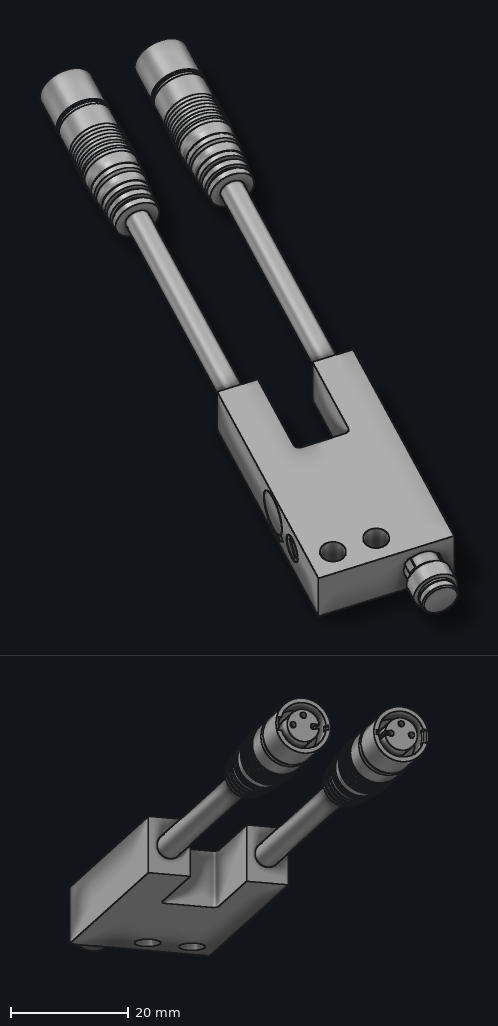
import cadquery as cq

total_length = 130.5

fork_length = 45.3
fork_width = 25.0
fork_thickness = 10.0
gap_length = 17.0
gap_width = 10.0
gap_corner_radius = 1.0
mount_hole_diameter = 4.5
mount_hole_pitch = 8.0
mount_hole_end_distance = 4.6

outlet_y = 6.5
outlet_length = 8.5
outlet_neck_diameter = 6.7
outlet_neck_length = 2.3
outlet_core_diameter = 6.4
outlet_collar_diameter = 8.1
outlet_collar_start = 3.0
outlet_collar_length = 3.3
outlet_tip_start = 6.9
outlet_end_chamfer = 0.3

window_count = 3
window_first_angle = 140
window_width = 1.6
window_diameter = 7.2

face_recess_depth = 0.1
marking_tilt = 45
button_diameter = 8.1
button_end_distance = 20.5
button_tab_length = 2.9
button_tab_width = 1.3
button_tab_reach = 5.1
button_tab_depth = 0.3
screw_diameter = 5.0
screw_end_distance = 11.9
screw_slot_length = 3.4
screw_slot_width = 0.8
screw_slot_depth = 0.7

cable_spacing = 17.5
cable_diameter = 4.5
plug_length = 31.8
plug_diameter = 9.8
socket_diameter = 8.1
socket_depth = 5.2
insert_diameter = 5.7
insert_key_width = 0.8
outer_notch_width = 2.3
inner_notch_width = 0.8
notch_reach = 4.5
notch_depth = 1.3
pin_hole_diameter = 1.0
pin_hole_depth = 2.0
pin_circle_radius = 1.8
seam_start = 7.5
seam_flat_length = 0.4
seam_end = 8.6
seam_diameter = 9.3
ridge_diameter = 10.0
ridge_count = 3
ridge_first_center = 13.8
ridge_pitch = 1.6
ridge_width = 0.8
last_ridge_centers = (18.4, 19.7)
body_end = 21.5
shoulder_diameter = 9.3
ring_count = 5
ring_pitch = 2.0
ring_width = 1.2
first_ring_diameter = 9.7
last_ring_diameter = 8.1
sloped_groove_count = 2
sloped_groove_diameter = 8.6
deep_groove_diameter = 6.9

fork_end = total_length - outlet_length
fork_start = fork_end - fork_length
fork_center_x = (fork_start + fork_end) / 2
first_ring_start = plug_length - ring_width - (ring_count - 1) * ring_pitch
ridge_centers = [ridge_first_center + index * ridge_pitch for index in range(ridge_count)]
ridge_centers += last_ridge_centers


def x_cylinder(diameter, start, length, y=0.0):
    """Cylinder along +X that begins at X = start, on the mid-plane Z = 0."""
    return cq.Workplane("YZ", origin=(start, y, 0)).circle(diameter / 2).extrude(length)


def fork_block():
    block = cq.Workplane("XY").box(fork_length, fork_width, fork_thickness)
    block = block.translate((fork_center_x, 0, 0))
    gap = cq.Workplane("XY").box(gap_length, gap_width, fork_thickness)
    gap = gap.edges("|Z and >X").fillet(gap_corner_radius)
    gap = gap.translate((fork_start + gap_length / 2, 0, 0))
    return block.cut(gap)


def mounting_holes():
    hole_x = fork_end - mount_hole_end_distance
    return (
        cq.Workplane("XY", origin=(hole_x, 0, -fork_thickness / 2))
        .pushPoints([(0, 0), (0, -mount_hole_pitch)])
        .circle(mount_hole_diameter / 2)
        .extrude(fork_thickness)
    )


def side_plane(end_distance):
    """Workplane on the -Y side; its local Y is +Z and it extrudes outward along -Y."""
    return cq.Workplane("XZ", origin=(fork_end - end_distance, -fork_width / 2, 0))


def button_recess():
    disc = side_plane(button_end_distance).circle(button_diameter / 2).extrude(-face_recess_depth)
    tab = (
        side_plane(button_end_distance)
        .transformed(rotate=(0, 0, -marking_tilt))
        .center(button_tab_reach - button_tab_width / 2, 0)
        .rect(button_tab_width, button_tab_length)
        .extrude(-button_tab_depth)
    )
    inside_disc = side_plane(button_end_distance).circle(button_diameter / 2).extrude(-button_tab_depth)
    return disc.union(tab.cut(inside_disc))


def screw_recess():
    head = side_plane(screw_end_distance).circle(screw_diameter / 2).extrude(-face_recess_depth)
    slot = (
        side_plane(screw_end_distance)
        .transformed(rotate=(0, 0, -marking_tilt))
        .rect(screw_slot_length, screw_slot_width)
        .extrude(-screw_slot_depth)
    )
    return head.union(slot)


def indicator_windows():
    """Pads on the outlet neck, spaced evenly; angles run from +Y toward +Z."""
    envelope = x_cylinder(window_diameter, fork_end, outlet_neck_length)
    pads = cq.Workplane("YZ")
    for index in range(window_count):
        angle = window_first_angle + index * 360 / window_count
        bar = (
            cq.Workplane("YZ", origin=(fork_end, 0, 0))
            .transformed(rotate=(0, 0, angle))
            .center(window_diameter / 4, 0)
            .rect(window_diameter / 2, window_width)
            .extrude(outlet_neck_length)
        )
        pads = pads.union(bar)
    return pads.intersect(envelope).translate((0, outlet_y, 0))


def outlet_connector():
    core = x_cylinder(outlet_core_diameter, fork_end, outlet_length, outlet_y)
    neck = x_cylinder(outlet_neck_diameter, fork_end, outlet_neck_length, outlet_y)
    collar = x_cylinder(
        outlet_collar_diameter, fork_end + outlet_collar_start, outlet_collar_length, outlet_y
    )
    tip_length = outlet_length - outlet_tip_start
    tip = x_cylinder(outlet_neck_diameter, fork_end + outlet_tip_start, tip_length, outlet_y)
    connector = core.union(neck).union(collar).union(tip)
    connector = connector.faces(">X").chamfer(outlet_end_chamfer)
    return connector.union(indicator_windows())


def make_housing():
    housing = fork_block().union(outlet_connector())
    return housing.cut(mounting_holes()).cut(button_recess()).cut(screw_recess())


def ring_diameter(x):
    """Diameter of the tapered strain relief at a distance x from the plug face."""
    share = (x - first_ring_start) / (plug_length - first_ring_start)
    return first_ring_diameter + share * (last_ring_diameter - first_ring_diameter)


def plug_profile():
    """Half section of the plug and cable, closed along the axis."""
    body_radius = plug_diameter / 2
    profile = cq.Workplane("XY").lineTo(0, body_radius)

    profile = (
        profile.lineTo(seam_start, body_radius)
        .lineTo(seam_start, seam_diameter / 2)
        .lineTo(seam_start + seam_flat_length, seam_diameter / 2)
        .lineTo(seam_end, body_radius)
    )

    for center in ridge_centers:
        profile = profile.lineTo(center - ridge_width / 2, body_radius).threePointArc(
            (center, ridge_diameter / 2), (center + ridge_width / 2, body_radius)
        )

    profile = profile.lineTo(body_end, body_radius).lineTo(first_ring_start, shoulder_diameter / 2)

    for index in range(ring_count):
        start = first_ring_start + index * ring_pitch
        end = start + ring_width
        profile = profile.lineTo(start, ring_diameter(start) / 2).lineTo(end, ring_diameter(end) / 2)
        if index < sloped_groove_count:
            profile = profile.lineTo(start + ring_pitch, sloped_groove_diameter / 2)
        elif index < ring_count - 1:
            profile = profile.lineTo(end, deep_groove_diameter / 2)
            profile = profile.lineTo(start + ring_pitch, deep_groove_diameter / 2)

    return (
        profile.lineTo(plug_length, cable_diameter / 2)
        .lineTo(fork_start, cable_diameter / 2)
        .lineTo(fork_start, 0)
        .close()
    )


def radial_slot(width, depth, inner, outer):
    """Slot cut from the plug face, between two distances along Y from the plug axis."""
    return (
        cq.Workplane("YZ")
        .center((inner + outer) / 2, 0)
        .rect(abs(outer - inner), width)
        .extrude(depth)
    )


def socket(side):
    """Ring-shaped socket around a keyed insert, with contact holes in the insert."""
    ring = x_cylinder(socket_diameter, 0, socket_depth).cut(
        x_cylinder(insert_diameter, 0, socket_depth)
    )
    contacts = (
        cq.Workplane("YZ")
        .pushPoints([(-pin_circle_radius, 0), (0, pin_circle_radius), (pin_circle_radius, 0)])
        .circle(pin_hole_diameter / 2)
        .extrude(pin_hole_depth)
    )
    inward = -side
    insert_radius = insert_diameter / 2
    key_start = pin_circle_radius + pin_hole_diameter / 2
    key = radial_slot(insert_key_width, socket_depth, inward * key_start, inward * insert_radius)
    middle = inward * (insert_radius + socket_diameter / 2) / 2
    inner_notch = radial_slot(inner_notch_width, notch_depth, middle, inward * notch_reach)
    outer_notch = radial_slot(outer_notch_width, notch_depth, -middle, -inward * notch_reach)
    return ring.union(contacts).union(key).union(inner_notch).union(outer_notch)


def make_cable(side):
    """One cable with its plug; side is +1 or -1 for the +Y or -Y prong."""
    body = plug_profile().revolve(360, (0, 0, 0), (1, 0, 0))
    return body.cut(socket(side)).translate((0, side * cable_spacing / 2, 0))


housing = make_housing()
cables = [make_cable(side) for side in (1, -1)]

result = cq.Compound.makeCompound([housing.val(), *[cable.val() for cable in cables]])